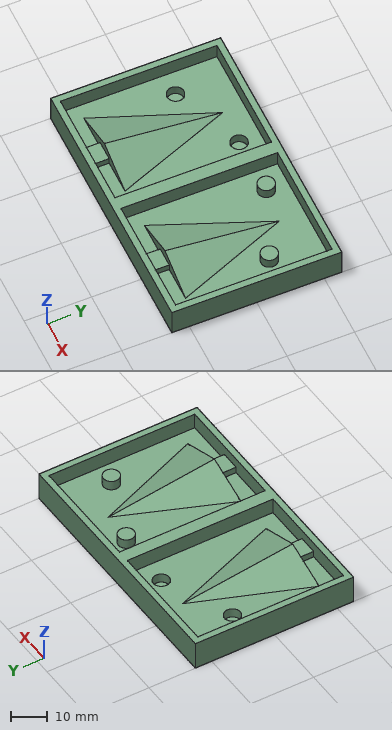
import cadquery as cq

LENGTH = 80.0
WIDTH = 50.4
HEIGHT = 9.0
WALL = 2.0
DIVIDER = 4.0
FLOOR = 4.0
RECESS_LENGTH = (LENGTH - 2 * WALL - DIVIDER) / 2
RECESS_WIDTH = WIDTH - 2 * WALL

TREE_BASE_Y = 7.0
TREE_WIDTH = 27.2
LEFT_TREE_X = WALL + RECESS_LENGTH / 2
RIGHT_TREE_X = LENGTH - LEFT_TREE_X
LEFT_TREE_LENGTH = 35.0
RIGHT_TREE_LENGTH = 33.8
TREE_HEIGHT = HEIGHT - FLOOR
TRUNK_WIDTH = 6.0
TRUNK_HEIGHT = 2.0
TRUNK_OFFSET = 0.2

PIN_DIAMETER = 5.0
PIN_HEIGHT = 3.0
HOLE_DEPTH = 3.0
LEFT_HOLES = [(9.0, 33.0), (31.0, 41.9)]
RIGHT_PINS = [(LENGTH - x, y) for x, y in LEFT_HOLES]


def block(x, y, z, length, width, height):
    """Box with its lowest corner at (x, y, z)."""
    return cq.Workplane("XY").box(length, width, height, centered=False).translate((x, y, z))


def tree_crown(center_x, length):
    """Half pyramid lying on the floor: upright triangular base, tip at floor level."""
    left = cq.Vector(center_x - TREE_WIDTH / 2, TREE_BASE_Y, FLOOR)
    right = cq.Vector(center_x + TREE_WIDTH / 2, TREE_BASE_Y, FLOOR)
    ridge = cq.Vector(center_x, TREE_BASE_Y, FLOOR + TREE_HEIGHT)
    tip = cq.Vector(center_x, TREE_BASE_Y + length, FLOOR)
    triangles = [(left, right, ridge), (left, tip, right), (left, ridge, tip), (right, tip, ridge)]
    faces = [cq.Face.makeFromWires(cq.Wire.makePolygon(list(t), close=True)) for t in triangles]
    return cq.Workplane(cq.Solid.makeSolid(cq.Shell.makeShell(faces)))


def trunk(center_x):
    """Low bar joining the crown to the front wall."""
    return block(center_x - TRUNK_WIDTH / 2, WALL, FLOOR, TRUNK_WIDTH, TREE_BASE_Y - WALL, TRUNK_HEIGHT)


def cylinders(points, height):
    """Upright cylinders starting from the recess floor; a negative height goes down."""
    return cq.Workplane("XY", origin=(0, 0, FLOOR)).pushPoints(points).circle(PIN_DIAMETER / 2).extrude(height)


result = block(0, 0, 0, LENGTH, WIDTH, HEIGHT)
for recess_x in (WALL, WALL + RECESS_LENGTH + DIVIDER):
    result = result.cut(block(recess_x, WALL, FLOOR, RECESS_LENGTH, RECESS_WIDTH, HEIGHT - FLOOR))

result = result.cut(cylinders(LEFT_HOLES, -HOLE_DEPTH))
result = result.union(cylinders(RIGHT_PINS, PIN_HEIGHT))

result = result.union(tree_crown(LEFT_TREE_X, LEFT_TREE_LENGTH))
result = result.union(tree_crown(RIGHT_TREE_X, RIGHT_TREE_LENGTH))
result = result.union(trunk(LEFT_TREE_X + TRUNK_OFFSET))
result = result.union(trunk(RIGHT_TREE_X - TRUNK_OFFSET))